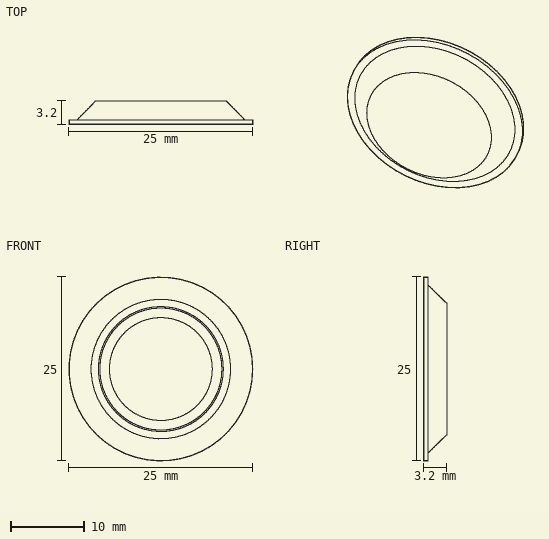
import cadquery as cq

flange_radius = 12.5
cone_base_radius = 11.42
cone_top_radius = 8.9
recess_diameter = 18.98
recess_radius = recess_diameter / 2
groove_outer_radius = 8.5
groove_inner_radius = 8.3
plateau_radius = 7.0

flange_thickness = 0.6
total_depth = 3.2
plateau_depth = 1.0
recess_wall_depth = 1.2
groove_depth = 2.3

profile = (
    cq.Workplane("XY")
    .moveTo(0, plateau_depth)
    .lineTo(plateau_radius, plateau_depth)
    .lineTo(groove_inner_radius, groove_depth)
    .lineTo(groove_outer_radius, groove_depth)
    .lineTo(recess_radius, recess_wall_depth)
    .lineTo(recess_radius, 0)
    .lineTo(flange_radius, 0)
    .lineTo(flange_radius, flange_thickness)
    .lineTo(cone_base_radius, flange_thickness)
    .lineTo(cone_top_radius, total_depth)
    .lineTo(0, total_depth)
    .close()
)

result = profile.revolve(360, (0, 0, 0), (0, 1, 0))